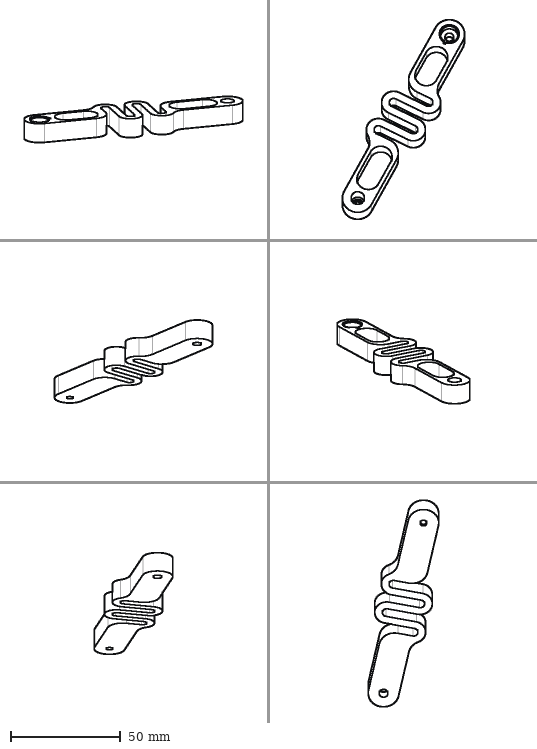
import cadquery as cq
import math

length = 104.0
thickness = 9.0
arm_width = 14.0
arm_radius = arm_width / 2
hole_y = length / 2 - arm_radius

strip_width = 3.5
slot_width = 4.0
bend_inner_radius = slot_width / 2
bend_outer_radius = bend_inner_radius + strip_width
bend_pitch = strip_width + slot_width
bend_x = arm_radius
outer_bend_y = 1.5 * bend_pitch
arm_inner_y = outer_bend_y + bend_inner_radius

blend_radius = arm_radius
blend_rise = math.sqrt((blend_radius + bend_outer_radius) ** 2 - blend_radius**2)

pocket_width = 10.4
pocket_inner_y = 17.3
upper_pocket_length = 22.5
lower_pocket_length = 20.2
pocket_depth = 7.5

upper_bore_diameter = 6.0
upper_bore_depth = 7.0
upper_hole_diameter = 3.0
upper_countersink_diameter = 4.0

lower_hole_diameter = 4.0
counterbore_diameter = 8.0
counterbore_depth = 4.0
counterbore_chamfer = 0.5
key_width = 1.0
key_reach = 5.1


def arm():
    """Return the +Y arm with its rounded tip, its round corner and its blend."""
    blend_x = arm_radius + blend_radius
    blend_y = outer_bend_y + blend_rise
    blend_angle = math.atan2(blend_rise, blend_radius)
    mid_angle = math.pi + blend_angle / 2
    blend_mid = (
        blend_x + blend_radius * math.cos(mid_angle),
        blend_y + blend_radius * math.sin(mid_angle),
    )
    bend_contact = (
        bend_x + bend_outer_radius * math.cos(blend_angle),
        outer_bend_y + bend_outer_radius * math.sin(blend_angle),
    )
    corner_y = arm_inner_y + arm_radius
    corner_mid = arm_radius * math.sqrt(0.5)
    return (
        cq.Workplane("XY")
        .moveTo(-arm_radius, corner_y)
        .lineTo(-arm_radius, hole_y)
        .threePointArc((0, length / 2), (arm_radius, hole_y))
        .lineTo(arm_radius, blend_y)
        .threePointArc(blend_mid, bend_contact)
        .lineTo(bend_x, arm_inner_y)
        .lineTo(0, arm_inner_y)
        .threePointArc((-corner_mid, corner_y - corner_mid), (-arm_radius, corner_y))
        .close()
        .extrude(thickness)
    )


def bend(y, side):
    """Return a half-ring bend that bulges towards side (+1 or -1) along X."""
    x = side * bend_x
    return (
        cq.Workplane("XY")
        .moveTo(x, y - bend_outer_radius)
        .threePointArc((x + side * bend_outer_radius, y), (x, y + bend_outer_radius))
        .lineTo(x, y + bend_inner_radius)
        .threePointArc((x + side * bend_inner_radius, y), (x, y - bend_inner_radius))
        .close()
        .extrude(thickness)
    )


def strip(y):
    """Return a straight strip that joins two neighbouring bends."""
    return (
        cq.Workplane("XY")
        .center(0, y)
        .rect(2 * bend_x, strip_width)
        .extrude(thickness)
    )


def cylinder(y, diameter, floor_z):
    """Return a round cutter that runs from floor_z up to the top face."""
    return (
        cq.Workplane("XY", origin=(0, y, floor_z))
        .circle(diameter / 2)
        .extrude(thickness - floor_z)
    )


def cone(y, bottom_diameter, top_diameter, top_z):
    """Return a 45 degree conical cutter that widens upwards to top_z."""
    height = (top_diameter - bottom_diameter) / 2
    return cq.Workplane(
        cq.Solid.makeCone(
            bottom_diameter / 2, top_diameter / 2, height, cq.Vector(0, y, top_z - height)
        )
    )


def pocket(y, pocket_length):
    """Return the cutter of a blind pocket with round ends."""
    return (
        cq.Workplane("XY", origin=(0, y, thickness - pocket_depth))
        .slot2D(pocket_length, pocket_width, 90)
        .extrude(pocket_depth)
    )


upper_arm = arm()
result = upper_arm.union(upper_arm.rotate((0, 0, 0), (0, 0, 1), 180))
for index in range(4):
    bend_side = 1 if index % 2 == 0 else -1
    result = result.union(bend(outer_bend_y - index * bend_pitch, bend_side))
for index in (-1, 0, 1):
    result = result.union(strip(index * bend_pitch))

result = result.cut(pocket(pocket_inner_y + upper_pocket_length / 2, upper_pocket_length))
result = result.cut(pocket(-pocket_inner_y - lower_pocket_length / 2, lower_pocket_length))

upper_floor_z = thickness - upper_bore_depth
result = result.cut(cylinder(hole_y, upper_hole_diameter, 0))
result = result.cut(cylinder(hole_y, upper_bore_diameter, upper_floor_z))
result = result.cut(
    cone(hole_y, upper_hole_diameter, upper_countersink_diameter, upper_floor_z)
)

lower_floor_z = thickness - counterbore_depth
rim_diameter = counterbore_diameter + 2 * counterbore_chamfer
key_notch = (
    cq.Workplane("XY", origin=(0, -hole_y + key_reach / 2, lower_floor_z))
    .rect(key_width, key_reach)
    .extrude(counterbore_depth)
)
result = result.cut(cylinder(-hole_y, lower_hole_diameter, 0))
result = result.cut(cylinder(-hole_y, counterbore_diameter, lower_floor_z))
result = result.cut(cone(-hole_y, counterbore_diameter, rim_diameter, thickness))
result = result.cut(key_notch)